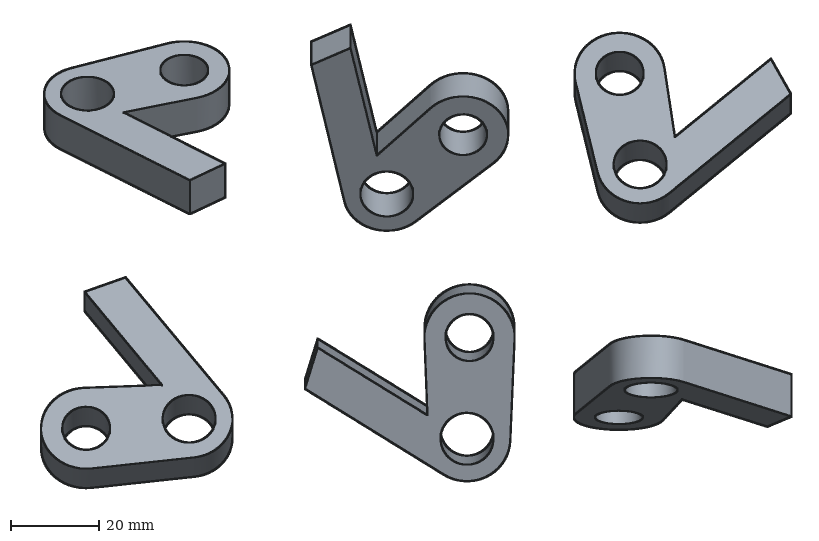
import cadquery as cq
import math

thickness = 10.0
lower_radius = 9.85
lower_hole_diameter = 12.0
upper_radius = 10.25
upper_hole_diameter = 10.85
upper_x = 11.95
upper_y = 20.25
inner_corner = (10.55, -0.1)
overall_length = 49.85
tip_setback = 2.6
tip_bottom_y = -9.65
arm_tip_x = overall_length - lower_radius
arm_tip_top = (arm_tip_x, 0)
arm_tip_bottom = (arm_tip_x - tip_setback, tip_bottom_y)


def on_circle(center, radius, angle):
    """Point on a circle at an angle in radians."""
    return (center[0] + radius * math.cos(angle), center[1] + radius * math.sin(angle))


lower_center = (0, 0)
upper_center = (upper_x, upper_y)

eye_spacing = math.hypot(upper_x, upper_y)
eye_direction = math.atan2(upper_y, upper_x)
flank_angle = eye_direction + math.acos((lower_radius - upper_radius) / eye_spacing)
lower_flank = on_circle(lower_center, lower_radius, flank_angle)
upper_flank = on_circle(upper_center, upper_radius, flank_angle)

corner_dx = inner_corner[0] - upper_x
corner_dy = inner_corner[1] - upper_y
corner_distance = math.hypot(corner_dx, corner_dy)
inner_angle = math.atan2(corner_dy, corner_dx) + math.acos(upper_radius / corner_distance)
upper_inner = on_circle(upper_center, upper_radius, inner_angle)

body = (
    cq.Workplane("XY")
    .moveTo(0, -lower_radius)
    .threePointArc((-lower_radius, 0), lower_flank)
    .lineTo(*upper_flank)
    .threePointArc(on_circle(upper_center, upper_radius, (flank_angle + inner_angle) / 2), upper_inner)
    .lineTo(*inner_corner)
    .lineTo(*arm_tip_top)
    .lineTo(*arm_tip_bottom)
    .close()
    .extrude(thickness)
)


def through_hole(center, diameter):
    """Cutter for a hole through the full thickness."""
    return cq.Workplane("XY").center(*center).circle(diameter / 2).extrude(thickness)


result = body.cut(through_hole(lower_center, lower_hole_diameter))
result = result.cut(through_hole(upper_center, upper_hole_diameter))